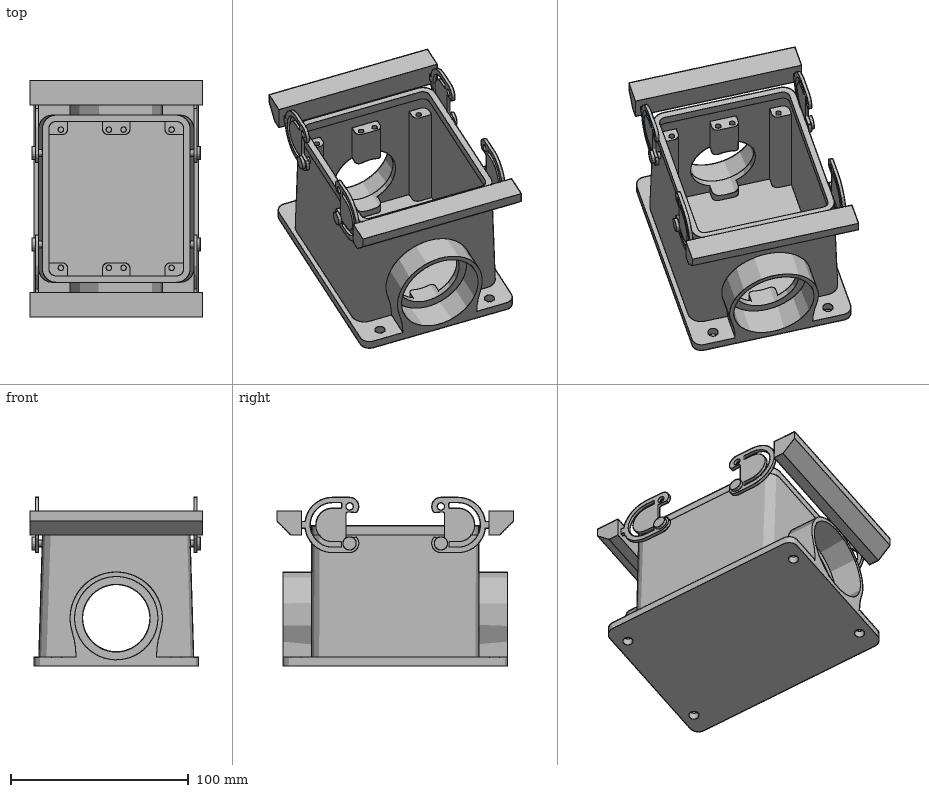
import cadquery as cq
import math

FLANGE_X = 92.6
FLANGE_Y = 126.4
FLANGE_HEIGHT = 5.0
FLANGE_CORNER = 5.6
MOUNT_X = 33.5
MOUNT_Y = 55.9
MOUNT_HOLE_D = 5.6

BOX_BOTTOM_X = 87.1
BOX_TOP_X = 83.0
BOX_Y = 93.9
BOX_CORNER = 7.6
WALL = 3.6
CAVITY_X = BOX_TOP_X - 2 * WALL
CAVITY_Y = BOX_Y - 2 * WALL
CAVITY_CORNER = BOX_CORNER - WALL
FLOOR_Z = 4.3
RIM_Z = 73.7
RIM_TOP_Z = 79.0

POST_TOP_Z = 66.8
POST_FACE_Y = 36.0
POST_CORNER = 3.2
CORNER_POST_FACE_X = 27.3
MIDDLE_POST_X = 15.4
SCREW_Y = 38.8
CORNER_SCREW_X = 31.1
MIDDLE_SCREW_X = 4.1
SCREW_HOLE_D = 3.0
SCREW_HOLE_DEPTH = 13.3

ENTRY_Z = 27.0
ENTRY_R = 26.0
ENTRY_FOOT_X = 22.6
SOCKET_R = 23.4
BORE_R = 18.9
SOCKET_FLOOR_Y = BOX_Y / 2

LEVER_Z = 79.4
LEVER_R = 15.5
LEVER_ARC_Y = 35.2
LEVER_PLATE_X = 43.6
LEVER_PLATE_THICKNESS = 1.9
LEVER_EDGE_Y = 27.7
LUG_Y = 25.7
LUG_R = 5.2
LUG_HOLE_R = 2.0
MOUTH_HALF_DEEP = 7.3
MOUTH_HALF_TIP = 6.8
MOUTH_CORNER = 1.0
SLOT_OUTER_R = 12.5
SLOT_INNER_R = 9.5
SLOT_END_Y = 30.2
SLOT_CORNER = 0.5
NECK_HEIGHT = 4.0
PIN_HEAD_R = 3.7
PIN_HEAD_LENGTH = 1.9

HANDLE_X = 97.0
HANDLE_OUTER_Y = 66.5
HANDLE_INNER_Y = 52.7
HANDLE_TOP_Z = 87.2
HANDLE_BOTTOM_Z = 73.7
HANDLE_CHAMFER = 7.8

LUG_OFFSET = LEVER_R - LUG_R
PIN_Z = LEVER_Z - LUG_OFFSET
ENDS = (1, -1)


def rounded_plan(z, size_x, size_y, corner):
    """Rounded rectangle outline at height z, centred on the Z axis."""
    return cq.Workplane("XY", (0, 0, z)).sketch().rect(size_x, size_y).vertices().fillet(corner).finalize()


def half_width(z):
    """Half of the box's outer X size at height z, below the rim."""
    lean = (BOX_BOTTOM_X - BOX_TOP_X) / 2 / (RIM_Z - FLANGE_HEIGHT)
    return BOX_BOTTOM_X / 2 - lean * (z - FLANGE_HEIGHT)


def make_leaning_block():
    """Solid block of the box's outer shape, from the flange to the rim."""
    height = RIM_Z - FLANGE_HEIGHT
    lower = cq.Sketch().rect(BOX_BOTTOM_X, BOX_Y).vertices().fillet(BOX_CORNER)
    upper = cq.Sketch().rect(BOX_TOP_X, BOX_Y).vertices().fillet(BOX_CORNER)
    upper = upper.moved(cq.Location(cq.Vector(0, 0, height)))
    return cq.Workplane("XY", (0, 0, FLANGE_HEIGHT)).placeSketch(lower, upper).loft()


def make_cavity():
    """Upright cavity from the floor up through the rim."""
    return rounded_plan(FLOOR_Z, CAVITY_X, CAVITY_Y, CAVITY_CORNER).extrude(RIM_TOP_Z - FLOOR_Z)


def make_flange():
    return rounded_plan(0, FLANGE_X, FLANGE_Y, FLANGE_CORNER).extrude(FLANGE_HEIGHT)


def make_entry_body():
    """Round entry tube along Y whose sides sweep down into a foot on the flange."""
    drop = ENTRY_Z - FLANGE_HEIGHT
    sweep_r = (drop**2 + ENTRY_FOOT_X**2 - ENTRY_R**2) / (2 * (ENTRY_R - ENTRY_FOOT_X))
    sweep_x = ENTRY_FOOT_X + sweep_r
    angle = math.atan2(drop, sweep_x)
    touch = (ENTRY_R * math.cos(angle), ENTRY_Z - ENTRY_R * math.sin(angle))
    middle = (
        sweep_x - sweep_r * math.cos(angle / 2),
        FLANGE_HEIGHT + sweep_r * math.sin(angle / 2),
    )
    return (
        cq.Workplane("XZ")
        .moveTo(-ENTRY_FOOT_X, 0)
        .lineTo(ENTRY_FOOT_X, 0)
        .lineTo(ENTRY_FOOT_X, FLANGE_HEIGHT)
        .threePointArc(middle, touch)
        .threePointArc((0, ENTRY_Z + ENTRY_R), (-touch[0], touch[1]))
        .threePointArc((-middle[0], middle[1]), (-ENTRY_FOOT_X, FLANGE_HEIGHT))
        .close()
        .extrude(FLANGE_Y / 2, both=True)
    )


def make_posts():
    """Six posts standing on the floor against the Y walls."""
    length_y = CAVITY_Y / 2 - POST_FACE_Y
    corner_x = CAVITY_X / 2 - CORNER_POST_FACE_X
    posts = cq.Workplane()
    for end in ENDS:
        y = end * (POST_FACE_Y + length_y / 2)
        free_edges = "|Z and <Y" if end > 0 else "|Z and >Y"
        middle = cq.Workplane("XY", (0, y, 0)).rect(MIDDLE_POST_X, length_y).extrude(POST_TOP_Z)
        posts = posts.add(middle.edges(free_edges).fillet(POST_CORNER))
        for side in ENDS:
            x = side * (CORNER_POST_FACE_X + corner_x / 2)
            corner = cq.Workplane("XY", (x, y, 0)).rect(corner_x, length_y).extrude(POST_TOP_Z)
            inner_edge = free_edges + (" and <X" if side > 0 else " and >X")
            posts = posts.add(corner.edges(inner_edge).fillet(POST_CORNER))
    return posts.combine()


def make_screw_holes():
    rows = (CORNER_SCREW_X, MIDDLE_SCREW_X)
    places = [(side * x, end * SCREW_Y) for x in rows for side in ENDS for end in ENDS]
    top = cq.Workplane("XY", (0, 0, POST_TOP_Z))
    return top.pushPoints(places).circle(SCREW_HOLE_D / 2).extrude(-SCREW_HOLE_DEPTH)


def make_mount_holes():
    holes = cq.Workplane("XY").rect(2 * MOUNT_X, 2 * MOUNT_Y, forConstruction=True).vertices()
    return holes.circle(MOUNT_HOLE_D / 2).extrude(FLANGE_HEIGHT)


def make_box():
    """Flange, hollow box, posts and cable entries."""
    bore = cq.Workplane("XZ", (0, 0, ENTRY_Z)).circle(BORE_R).extrude(FLANGE_Y, both=True)
    sockets = (
        cq.Workplane("XZ", (0, 0, ENTRY_Z))
        .circle(SOCKET_R)
        .extrude(FLANGE_Y, both=True)
        .cut(cq.Workplane("XY").box(FLANGE_X, 2 * SOCKET_FLOOR_Y, 2 * RIM_Z))
    )
    box = make_flange().union(make_entry_body()).union(make_leaning_block())
    box = box.cut(make_cavity()).union(make_posts())
    return box.cut(bore).cut(sockets).cut(make_screw_holes()).cut(make_mount_holes())


def cheek_plane():
    """Inner face of the lever cheek, with its origin at the lever's mid-height."""
    return cq.Workplane("YZ", (LEVER_PLATE_X, 0, LEVER_Z))


def make_lever_plate():
    """Cheek at +X, +Y: a rounded plate with two lugs either side of a mouth, the upper one a hook."""
    arc_far_y = LEVER_ARC_Y + LEVER_R
    plate = (
        cheek_plane()
        .moveTo(LUG_Y, LEVER_R)
        .lineTo(LEVER_ARC_Y, LEVER_R)
        .threePointArc((arc_far_y, 0), (LEVER_ARC_Y, -LEVER_R))
        .lineTo(LUG_Y, -LEVER_R)
        .close()
        .extrude(LEVER_PLATE_THICKNESS)
    )
    lugs = cheek_plane().pushPoints([(LUG_Y, LUG_OFFSET), (LUG_Y, -LUG_OFFSET)]).circle(LUG_R)
    mouth = (
        cheek_plane()
        .moveTo(LEVER_EDGE_Y, MOUTH_HALF_DEEP)
        .lineTo(LUG_Y - LUG_R, MOUTH_HALF_TIP)
        .lineTo(LUG_Y - LUG_R, -MOUTH_HALF_TIP)
        .lineTo(LEVER_EDGE_Y, -MOUTH_HALF_DEEP)
        .close()
        .extrude(LEVER_PLATE_THICKNESS)
        .edges("|X and >Y")
        .fillet(MOUTH_CORNER)
    )
    hook_hole = cheek_plane().center(LUG_Y, LUG_OFFSET).circle(LUG_HOLE_R).extrude(LEVER_PLATE_THICKNESS)
    neck_length = HANDLE_INNER_Y - arc_far_y + LEVER_R - SLOT_OUTER_R
    neck = (
        cheek_plane()
        .center(HANDLE_INNER_Y - neck_length / 2, 0)
        .rect(neck_length, NECK_HEIGHT)
        .extrude(LEVER_PLATE_THICKNESS)
    )
    plate = plate.union(lugs.extrude(LEVER_PLATE_THICKNESS)).cut(mouth).cut(hook_hole)
    return plate.cut(make_lever_slot()).union(neck)


def make_lever_slot():
    """C-shaped slot that follows the rounded end of the lever cheek."""
    return (
        cheek_plane()
        .moveTo(SLOT_END_Y, SLOT_OUTER_R)
        .lineTo(LEVER_ARC_Y, SLOT_OUTER_R)
        .threePointArc((LEVER_ARC_Y + SLOT_OUTER_R, 0), (LEVER_ARC_Y, -SLOT_OUTER_R))
        .lineTo(SLOT_END_Y, -SLOT_OUTER_R)
        .lineTo(SLOT_END_Y, -SLOT_INNER_R)
        .lineTo(LEVER_ARC_Y, -SLOT_INNER_R)
        .threePointArc((LEVER_ARC_Y + SLOT_INNER_R, 0), (LEVER_ARC_Y, SLOT_INNER_R))
        .lineTo(SLOT_END_Y, SLOT_INNER_R)
        .close()
        .extrude(LEVER_PLATE_THICKNESS)
        .edges("|X and <Y")
        .fillet(SLOT_CORNER)
    )


def make_pin():
    """Pivot pin from inside the box wall to its head outside the lever cheek."""
    inner_x = half_width(PIN_Z) - WALL / 2
    head_x = LEVER_PLATE_X + LEVER_PLATE_THICKNESS
    shank = cq.Workplane("YZ", (inner_x, LUG_Y, PIN_Z)).circle(LUG_HOLE_R).extrude(head_x - inner_x)
    head = cq.Workplane("YZ", (head_x, LUG_Y, PIN_Z)).circle(PIN_HEAD_R).extrude(PIN_HEAD_LENGTH)
    return shank.union(head)


def make_handle():
    """Handle bar at the +Y end, chamfered along its lower outer edge."""
    return (
        cq.Workplane("YZ")
        .moveTo(HANDLE_INNER_Y, HANDLE_BOTTOM_Z)
        .lineTo(HANDLE_INNER_Y, HANDLE_TOP_Z)
        .lineTo(HANDLE_OUTER_Y, HANDLE_TOP_Z)
        .lineTo(HANDLE_OUTER_Y, HANDLE_BOTTOM_Z + HANDLE_CHAMFER)
        .lineTo(HANDLE_OUTER_Y - HANDLE_CHAMFER, HANDLE_BOTTOM_Z)
        .close()
        .extrude(HANDLE_X / 2, both=True)
    )


def make_lever():
    """Lever at the +Y end: two cheeks on their pins, joined by the handle."""
    cheek = make_lever_plate().union(make_pin())
    return make_handle().union(cheek).union(cheek.mirror("YZ"))


def make_housing():
    """Box with both levers fixed to it through their pins."""
    lever = make_lever()
    return make_box().union(lever).union(lever.mirror("XZ"))


def make_rim():
    """Upright collar that continues the box walls upward."""
    height = RIM_TOP_Z - RIM_Z
    outer = rounded_plan(RIM_Z, BOX_TOP_X, BOX_Y, BOX_CORNER).extrude(height)
    return outer.cut(make_cavity())


housing = make_housing()
rim = make_rim()
result = cq.Compound.makeCompound([housing.solids().val(), rim.solids().val()])